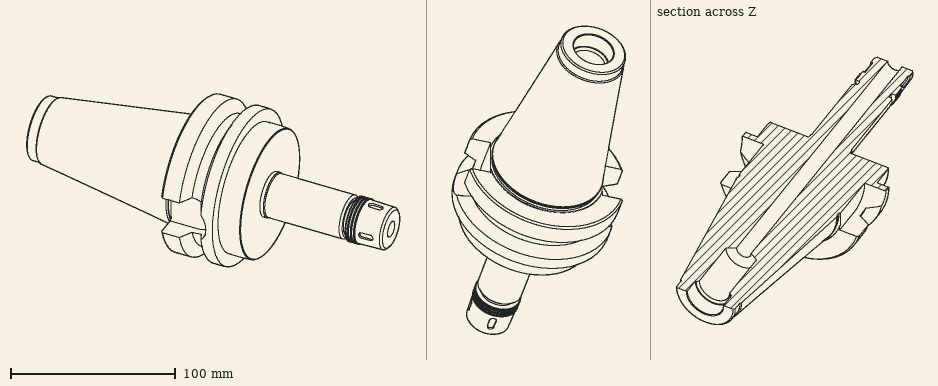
import cadquery as cq
import math

LENGTH = 236.8

GAUGE_X = 102.3
GAUGE_D = 70.0
TAPER_RATIO = 7 / 24
PILOT_D = 41.0
PILOT_CHAMFER = 1.0
PILOT_END_X = 6.9
TAPER_START_X = 7.5
TAPER_START_D = GAUGE_D - (GAUGE_X - TAPER_START_X) * TAPER_RATIO
GAUGE_BAND = 0.7
NECK_D = 69.0

FLANGE_X = 104.7
FLANGE_D = 100.0
FLANGE_CHAMFER = 1.2
RECESS_D = 73.2
RECESS_DEPTH = 0.7
GROOVE_X = 117.2
GROOVE_BOTTOM_X = 121.7
GROOVE_BOTTOM_END_X = 128.0
GROOVE_END_X = 132.1
FLANGE_END_X = 140.2
FLANGE_END_CHAMFER_LENGTH = 1.5
FLANGE_END_CHAMFER_DEPTH = 0.2
GROOVE_BOTTOM_D = 84.0
BODY_D = 83.5
BODY_TAPER_X = 150.1
BODY_END_D = 82.9
BODY_END_X = 155.0
BODY_CHAMFER = 0.5

SLOT_WIDTH = 26.0
SLOT_FLOOR_Y = 35.3
SLOT_END_X = 136.0

NOSE_D = 28.0
NOSE_FOOT_D = 29.0
NOSE_FOOT_END_X = 158.2
NOSE_FOOT_TAPER = 0.7
NOSE_END_X = 209.8
NOSE_CHAMFER = 1.5
NOSE_NECK_D = 22.0

NUT_X = 212.6
RIB_D = 29.0
RIB_GROOVE_D = 28.0
RIB_COUNT = 3
RIB_PITCH = 2.1
RIB_WIDTH = 0.7
FRONT_RIM_WIDTH = 0.2
NUT_D = 28.0
NUT_END_D = 27.0
NUT_CHAMFER = 1.5
NUT_SLOT_COUNT = 4
NUT_SLOT_X = 221.6
NUT_SLOT_END_X = 231.0
NUT_SLOT_WIDTH = 4.0
NUT_SLOT_DEPTH = 1.7

MOUTH_D = 26.0
COUNTERBORE_D = 25.0
COUNTERBORE_DEPTH = 10.5
THREAD_MOUTH_D = 24.0
THREAD_BORE_D = 21.0
THREAD_BORE_DEPTH = 45.0
THROUGH_D = 10.0
TIP_HALF_ANGLE = 59


def revolve_about_x(stations):
    """Solid of revolution about X from (x, diameter) stations."""
    points = [(x, diameter / 2) for x, diameter in stations]
    outline = [(stations[0][0], 0)] + points + [(stations[-1][0], 0)]
    return cq.Workplane("XY").polyline(outline).close().revolve(360, (0, 0, 0), (1, 0, 0))


def make_shank():
    return revolve_about_x([
        (0, PILOT_D - 2 * PILOT_CHAMFER),
        (PILOT_CHAMFER, PILOT_D),
        (PILOT_END_X, PILOT_D),
        (TAPER_START_X, TAPER_START_D),
        (GAUGE_X - GAUGE_BAND, GAUGE_D - GAUGE_BAND * TAPER_RATIO),
        (GAUGE_X - GAUGE_BAND, GAUGE_D),
        (GAUGE_X + GAUGE_BAND, GAUGE_D),
        (GAUGE_X + GAUGE_BAND, NECK_D),
        (GROOVE_X, NECK_D),
    ])


def make_flange():
    flange = revolve_about_x([
        (FLANGE_X, FLANGE_D - 2 * FLANGE_CHAMFER),
        (FLANGE_X + FLANGE_CHAMFER, FLANGE_D),
        (GROOVE_X, FLANGE_D),
        (GROOVE_BOTTOM_X, GROOVE_BOTTOM_D),
        (GROOVE_BOTTOM_END_X, GROOVE_BOTTOM_D),
        (GROOVE_END_X, FLANGE_D),
        (FLANGE_END_X - FLANGE_END_CHAMFER_LENGTH, FLANGE_D),
        (FLANGE_END_X, FLANGE_D - 2 * FLANGE_END_CHAMFER_DEPTH),
        (FLANGE_END_X, BODY_D),
        (BODY_TAPER_X, BODY_D),
        (BODY_END_X - BODY_CHAMFER, BODY_END_D),
        (BODY_END_X, BODY_END_D - 2 * BODY_CHAMFER),
    ])
    recess = revolve_about_x([(FLANGE_X, RECESS_D), (FLANGE_X + RECESS_DEPTH, RECESS_D)])
    return flange.cut(recess)


def make_drive_slot(side):
    """Round-ended slot open toward the taper; side is -1 for -Y and +1 for +Y."""
    radius = SLOT_WIDTH / 2
    center_x = SLOT_END_X - radius
    depth = FLANGE_D / 2 - SLOT_FLOOR_Y
    mid_y = side * (SLOT_FLOOR_Y + depth / 2)
    straight = cq.Workplane("XY").box(center_x - FLANGE_X, depth, SLOT_WIDTH)
    straight = straight.translate(((center_x + FLANGE_X) / 2, mid_y, 0))
    rounded = cq.Workplane("XZ").circle(radius).extrude(depth / 2, both=True)
    return straight.union(rounded.translate((center_x, mid_y, 0)))


def make_nose():
    return revolve_about_x([
        (FLANGE_END_X, NOSE_FOOT_D),
        (NOSE_FOOT_END_X - NOSE_FOOT_TAPER, NOSE_FOOT_D),
        (NOSE_FOOT_END_X, NOSE_D),
        (NOSE_END_X - NOSE_CHAMFER, NOSE_D),
        (NOSE_END_X, NOSE_D - 2 * NOSE_CHAMFER),
        (NOSE_END_X, NOSE_NECK_D),
        (NUT_X, NOSE_NECK_D),
    ])


def make_nut():
    stations = [
        (NUT_X, RIB_D),
        (NUT_X + FRONT_RIM_WIDTH, RIB_D),
        (NUT_X + FRONT_RIM_WIDTH, RIB_GROOVE_D),
    ]
    for index in range(1, RIB_COUNT + 1):
        rib_end_x = NUT_X + index * RIB_PITCH
        next_d = NUT_D if index == RIB_COUNT else RIB_GROOVE_D
        stations += [
            (rib_end_x - RIB_WIDTH, RIB_GROOVE_D),
            (rib_end_x - RIB_WIDTH, RIB_D),
            (rib_end_x, RIB_D),
            (rib_end_x, next_d),
        ]
    stations += [
        (LENGTH - NUT_CHAMFER, NUT_END_D),
        (LENGTH, NUT_END_D - 2 * NUT_CHAMFER),
    ]
    nut = revolve_about_x(stations)
    slot = (
        cq.Workplane("XY", origin=((NUT_SLOT_X + NUT_SLOT_END_X) / 2, 0, NUT_D / 2 - NUT_SLOT_DEPTH))
        .slot2D(NUT_SLOT_END_X - NUT_SLOT_X, NUT_SLOT_WIDTH)
        .extrude(NUT_D / 2)
    )
    for index in range(NUT_SLOT_COUNT):
        nut = nut.cut(slot.rotate((0, 0, 0), (1, 0, 0), index * 360 / NUT_SLOT_COUNT))
    return nut


def make_bore():
    mouth_chamfer = (MOUTH_D - COUNTERBORE_D) / 2
    thread_chamfer = (THREAD_MOUTH_D - THREAD_BORE_D) / 2
    tip_length = (THREAD_BORE_D - THROUGH_D) / 2 / math.tan(math.radians(TIP_HALF_ANGLE))
    return revolve_about_x([
        (0, MOUTH_D),
        (mouth_chamfer, COUNTERBORE_D),
        (COUNTERBORE_DEPTH, COUNTERBORE_D),
        (COUNTERBORE_DEPTH, THREAD_MOUTH_D),
        (COUNTERBORE_DEPTH + thread_chamfer, THREAD_BORE_D),
        (THREAD_BORE_DEPTH, THREAD_BORE_D),
        (THREAD_BORE_DEPTH + tip_length, THROUGH_D),
        (LENGTH, THROUGH_D),
    ])


result = make_flange().union(make_shank())
for side in (-1, 1):
    result = result.cut(make_drive_slot(side))
result = result.union(make_nose()).union(make_nut()).cut(make_bore())